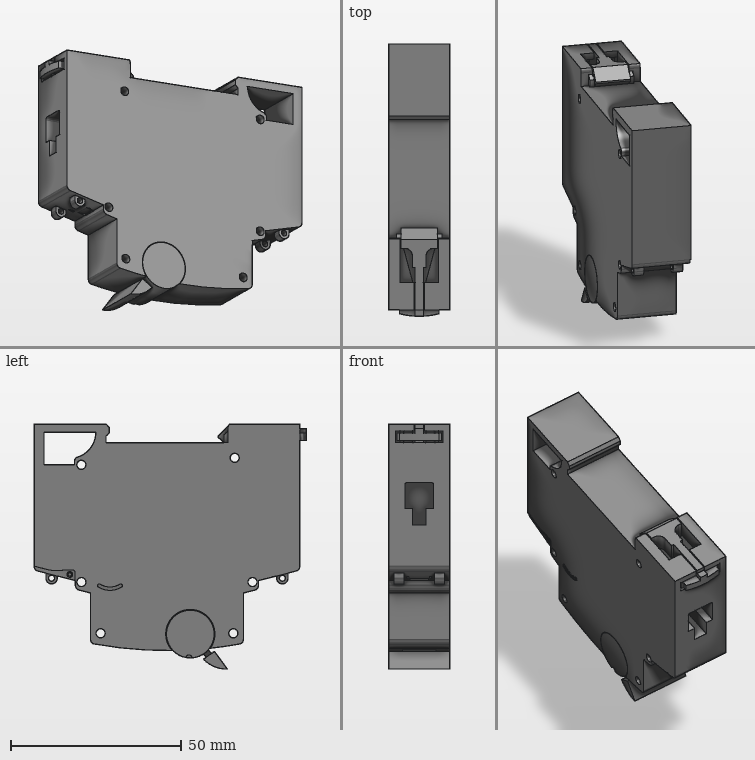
import cadquery as cq
import math


width = 18.0
half_width = width / 2
length = 78.12
mid_y = length / 2
top_z = 72.0
seat_z = 66.6

front_block_y = 21.1
front_block_round_y = 0.35
front_block_round_z = 1.2
rear_block_y = 56.9
hook_reach = 0.95
hook_root_z = 68.5
hook_low_z = 69.5
hook_high_z = 71.0

shoulder_slope = 0.254
shoulder_end_z = 29.1
step_y = 12.1
step_low_z = 23.5
nose_half_length = 22.5
nose_end_z = 7.6
nose_low_z = 5.45
corner_radius = 1.5
step_radius = 1.6
nose_radius = 1.4

rivet_radius = 1.3
rear_rivet_y = 64.2
step_rivet_z = 25.6
nose_rivet_offset = 19.5
nose_rivet_z = 10.55
rivet_points = [
    (rear_rivet_y, 60.05),
    (19.17, 62.1),
    (length - rear_rivet_y, step_rivet_z),
    (rear_rivet_y, step_rivet_z),
    (mid_y - nose_rivet_offset, nose_rivet_z),
    (mid_y + nose_rivet_offset, nose_rivet_z),
]

window_rear_y = 75.15
window_low_z = 60.1
window_high_z = 69.6
window_arc_y = 67.6
window_arc_radius = 7.6
window_rivet_clearance = 2.05
window_corner_radius = 1.3

lug_y = 5.15
lug_z = 26.75
lug_radius = 1.7
lug_hole_radius = 0.85
lug_width = 2.95
lug_x = 5.95
lug_root_z = 30.0

keyhole_half_width = 4.25
keyhole_top_z = 54.85
keyhole_ledge_z = 47.2
keyhole_bottom_z = 42.35
keyhole_leg_half_width = 2.05
keyhole_corner_radius = 0.75
keyhole_depth = 10.0

notch_half_width = 2.7
notch_front_y = 8.0
notch_wall_y = 12.4
notch_roof_z = 26.6
dimple_x = 3.35
dimple_z = 26.95
dimple_radius = 0.35
dimple_y_end = 8.8

relief_depth = 0.3
flap_top_z = 29.2
flap_dip_y = 71.8
flap_dip_z = 29.0
flap_rear_z = 30.3
flap_knee_y = 73.5
flap_knee_z = 29.1
flap_low_z = 25.0
flap_corner_radius = 0.9
pivot_y = 67.6
pivot_z = 27.85
pivot_radius = 0.85
pivot_dimple_radius = 0.5
smile_y = 55.8
smile_drop = 0.9
smile_half_span = 3.15
smile_end_z = 24.55
smile_half_width = 0.5

clip_half_width = 5.3
clip_gap = 0.3
clip_top_y = 20.6
clip_nose_y = 24.0
clip_nose_z = 68.55
clip_nose_tip_z = 68.05
clip_nose_under_y = 23.7
clip_nose_under_z = 67.85
clip_shoulder_y = 18.05
flare_radius = 2.3
neck_half_width = 2.0
neck_front_y = 12.4
stem_half_width = 1.2
stem_front_z = 70.7
clip_reach = 1.94

tab_half_width = 6.7
tab_y = 22.35
tab_low_z = 68.8

bar_half_width = 5.85
bar_end_y = -1.15
bar_rear_half_width = 6.6
bar_flare_y = 0.8
bar_rear_y = 1.6
bar_low_z = 67.15
bar_high_z = 69.35

pocket_front_y = 8.1
pocket_half_width = clip_half_width + clip_gap
bar_slot_half_width = 6.95
bar_slot_high_z = 70.05
vee_rear_half_width = 4.6
vee_front_half_width = 1.9
vee_depth = 0.5

toggle_y = 32.2
toggle_z = 10.34
toggle_radius = 7.05
toggle_gap = 0.12
arm_angle = 229.0
arm_width = 1.9
arm_length = 8.4
arm_half_width = 4.95
lever_front = (25.1, 5.25)
lever_rear = (28.35, 2.95)
lever_tip = (21.25, 0.0)
lever_belly = (25.3, 0.79)
rim_notch_y = 32.6
rim_notch_radius = 0.9
rim_notch_depth = 0.5

side_plane = cq.Plane(origin=(-half_width, 0, 0), xDir=(0, 1, 0), normal=(1, 0, 0))


def side_sketch(inset=0.0):
    """YZ workplane, inset from the -X face, that extrudes toward +X."""
    return cq.Workplane(side_plane).workplane(offset=inset)


def plan_sketch(z):
    """XY workplane at height z."""
    return cq.Workplane("XY", origin=(0, 0, z))


def block(x_half, y_low, y_high, z_low, z_high):
    """Box centred on X = 0."""
    box = cq.Workplane("XY").box(2 * x_half, y_high - y_low, z_high - z_low, centered=(True, False, False))
    return box.translate((0, y_low, z_low))


def shoulder_z(depth):
    """Shoulder height at a given distance from the front or rear face."""
    return shoulder_end_z - shoulder_slope * depth


def housing_body():
    nose_front_y = mid_y - nose_half_length
    nose_rear_y = mid_y + nose_half_length
    rear_step_y = length - step_y
    step_high_z = shoulder_z(step_y)
    nose_root_z = step_low_z - shoulder_slope * (nose_front_y - step_y)
    round_radius = (front_block_round_y ** 2 + front_block_round_z ** 2) / (2 * front_block_round_y)
    hook_y = rear_block_y - hook_reach

    body = (
        side_sketch()
        .moveTo(front_block_y, seat_z)
        .lineTo(rear_block_y, seat_z)
        .lineTo(rear_block_y, hook_root_z)
        .lineTo(hook_y, hook_low_z)
        .lineTo(hook_y, hook_high_z)
        .lineTo(rear_block_y, top_z)
        .lineTo(length, top_z)
        .lineTo(length, shoulder_end_z)
        .lineTo(rear_step_y, step_high_z)
        .lineTo(rear_step_y, step_low_z)
        .lineTo(nose_rear_y, nose_root_z)
        .lineTo(nose_rear_y, nose_end_z)
        .threePointArc((mid_y, nose_low_z), (nose_front_y, nose_end_z))
        .lineTo(nose_front_y, nose_root_z)
        .lineTo(step_y, step_low_z)
        .lineTo(step_y, step_high_z)
        .lineTo(0, shoulder_end_z)
        .lineTo(0, top_z)
        .lineTo(front_block_y - front_block_round_y, top_z)
        .radiusArc((front_block_y, top_z - front_block_round_z), round_radius)
        .close()
        .extrude(width)
    )
    rounded_corners = [
        (0, shoulder_end_z, corner_radius),
        (step_y, step_low_z, step_radius),
        (nose_front_y, nose_end_z, nose_radius),
    ]
    for y, z, radius in rounded_corners:
        for corner_y in (y, length - y):
            corner = cq.selectors.NearestToPointSelector((0, corner_y, z))
            body = body.edges("|X").edges(corner).fillet(radius)
    return body


def sealing_lugs():
    lugs = cq.Workplane("XY")
    for y, outward in ((lug_y, -1), (length - lug_y, 1)):
        outer_y = y + outward * lug_radius
        inner_y = y - outward * lug_radius
        lug = (
            side_sketch()
            .moveTo(outer_y, lug_root_z)
            .lineTo(outer_y, lug_z)
            .threePointArc((y, lug_z - lug_radius), (inner_y, lug_z))
            .lineTo(inner_y, lug_root_z)
            .close()
            .extrude(lug_width)
        )
        for x in (-lug_x, lug_x):
            lugs = lugs.add(lug.translate((x + half_width - lug_width / 2, 0, 0)))
    return lugs.combine()


def lug_holes():
    centres = [(lug_y, lug_z), (length - lug_y, lug_z)]
    return side_sketch().pushPoints(centres).circle(lug_hole_radius).extrude(width)


def rivet_holes():
    return side_sketch().pushPoints(rivet_points).circle(rivet_radius).extrude(width)


def rear_window():
    straight_y = rear_rivet_y + window_rivet_clearance
    straight = block(half_width, straight_y, window_rear_y, window_low_z, window_high_z)
    arc_y = window_arc_y - window_arc_radius
    arc_limits = block(half_width, arc_y, window_arc_y, window_low_z, window_high_z)
    arched = side_sketch().center(window_arc_y, window_high_z).circle(window_arc_radius).extrude(width)
    window = straight.union(arched.intersect(arc_limits))
    corner_z = window_high_z - math.sqrt(window_arc_radius ** 2 - (straight_y - window_arc_y) ** 2)
    corner = cq.selectors.NearestToPointSelector((0, straight_y, corner_z))
    return window.edges("|X").edges(corner).fillet(window_corner_radius)


def keyhole_pocket():
    head = block(keyhole_half_width, 0, keyhole_depth, keyhole_ledge_z, keyhole_top_z)
    head = head.edges("|Y and >Z").fillet(keyhole_corner_radius)
    leg = block(keyhole_leg_half_width, 0, keyhole_depth, keyhole_bottom_z, keyhole_ledge_z)
    return head.union(leg)


def shoulder_notch():
    notch_floor_z = shoulder_z(step_y)
    notch = block(notch_half_width, notch_front_y, notch_wall_y, notch_floor_z, notch_roof_z)
    dimples = (
        cq.Workplane("XZ")
        .pushPoints([(-dimple_x, dimple_z), (dimple_x, dimple_z)])
        .circle(dimple_radius)
        .extrude(-dimple_y_end)
    )
    return notch.union(dimples)


def flap_relief():
    """Shallow recess along the rear shoulder, with a dimpled pivot boss left standing in it."""
    inner_y = length - step_y
    recess = (
        side_sketch()
        .moveTo(length, flap_rear_z)
        .lineTo(flap_knee_y, flap_knee_z)
        .threePointArc((flap_dip_y, flap_dip_z), (pivot_y + flap_corner_radius, flap_top_z))
        .lineTo(inner_y + flap_corner_radius, flap_top_z)
        .radiusArc((inner_y, flap_top_z - flap_corner_radius), -flap_corner_radius)
        .lineTo(inner_y, flap_low_z)
        .lineTo(length, flap_low_z)
        .close()
        .extrude(relief_depth)
    )
    pivot = (
        side_sketch()
        .center(pivot_y, pivot_z)
        .circle(pivot_radius)
        .circle(pivot_dimple_radius)
        .extrude(relief_depth)
    )
    return recess.cut(pivot)


def smile_groove():
    """Shallow round-ended groove that follows an arc."""
    arc_radius = (smile_half_span ** 2 + smile_drop ** 2) / (2 * smile_drop)
    arc_z = smile_end_z - smile_drop + arc_radius
    half_angle = math.asin(smile_half_span / arc_radius)

    def arc_point(radius, angle):
        return (smile_y + radius * math.sin(angle), arc_z - radius * math.cos(angle))

    outer = arc_radius + smile_half_width
    inner = arc_radius - smile_half_width
    groove = (
        side_sketch()
        .moveTo(*arc_point(outer, -half_angle))
        .threePointArc(arc_point(outer, 0), arc_point(outer, half_angle))
        .lineTo(*arc_point(inner, half_angle))
        .threePointArc(arc_point(inner, 0), arc_point(inner, -half_angle))
        .close()
        .extrude(relief_depth)
    )
    ends = [arc_point(arc_radius, -half_angle), arc_point(arc_radius, half_angle)]
    return groove.union(side_sketch().pushPoints(ends).circle(smile_half_width).extrude(relief_depth))


def clip_cavity():
    pocket = block(pocket_half_width, pocket_front_y, front_block_y, seat_z, top_z)
    channel = block(stem_half_width + clip_gap, 0, pocket_front_y, seat_z, top_z)
    bar_slot = block(bar_slot_half_width, 0, pocket_front_y, seat_z, bar_slot_high_z)
    bar_slot = bar_slot.edges("|Z and >Y").fillet(flare_radius)
    vee = (
        plan_sketch(seat_z - vee_depth)
        .polyline([
            (-vee_front_half_width, pocket_front_y),
            (vee_front_half_width, pocket_front_y),
            (vee_rear_half_width, clip_shoulder_y),
            (-vee_rear_half_width, clip_shoulder_y),
        ])
        .close()
        .extrude(vee_depth)
    )
    return pocket.union(channel).union(bar_slot).union(vee)


def toggle_bore():
    return side_sketch().center(toggle_y, toggle_z).circle(toggle_radius + toggle_gap).extrude(width)


def make_housing():
    body = housing_body().union(sealing_lugs())
    cuts = [
        lug_holes(), rivet_holes(), rear_window(), keyhole_pocket(), shoulder_notch(),
        flap_relief(), smile_groove(), clip_cavity(), toggle_bore(),
    ]
    for cut in cuts:
        body = body.cut(cut)
    return body


def clip_latch():
    """Wide rear part of the clip, with its sloping nose over the rail seat."""
    profile = [
        (clip_shoulder_y, seat_z),
        (tab_y, seat_z),
        (clip_nose_under_y, clip_nose_under_z),
        (clip_nose_y, clip_nose_tip_z),
        (clip_nose_y, clip_nose_z),
        (clip_top_y, top_z),
        (clip_shoulder_y, top_z),
    ]
    return side_sketch(half_width - clip_half_width).polyline(profile).close().extrude(2 * clip_half_width)


def clip_tabs():
    """Stop tabs that bear on the rail-side face of the front block."""
    profile = [
        (front_block_y, seat_z),
        (tab_y, seat_z),
        (tab_y, tab_low_z),
        (front_block_y, tab_low_z + tab_y - front_block_y),
    ]
    return side_sketch(half_width - tab_half_width).polyline(profile).close().extrude(2 * tab_half_width)


def clip_stem():
    """Narrow stem to the front, flaring in two arcs into the latch."""
    flare_half_width = neck_half_width + flare_radius
    flare_y = clip_shoulder_y - flare_radius
    return (
        plan_sketch(seat_z)
        .moveTo(-stem_half_width, 0)
        .lineTo(stem_half_width, 0)
        .lineTo(stem_half_width, neck_front_y)
        .lineTo(neck_half_width, neck_front_y)
        .lineTo(neck_half_width, flare_y)
        .radiusArc((flare_half_width, clip_shoulder_y), flare_radius)
        .lineTo(-flare_half_width, clip_shoulder_y)
        .radiusArc((-neck_half_width, flare_y), flare_radius)
        .lineTo(-neck_half_width, neck_front_y)
        .lineTo(-stem_half_width, neck_front_y)
        .close()
        .extrude(top_z - seat_z)
    )


def pull_bar():
    """Bowed bar across the front of the stem; its middle rises with the stem to a higher level."""
    bow = (
        plan_sketch(bar_low_z)
        .moveTo(-bar_half_width, bar_end_y)
        .threePointArc((0, -clip_reach), (bar_half_width, bar_end_y))
        .lineTo(bar_half_width, 0)
        .lineTo(bar_rear_half_width, bar_flare_y)
        .lineTo(bar_rear_half_width, bar_rear_y)
        .lineTo(-bar_rear_half_width, bar_rear_y)
        .lineTo(-bar_rear_half_width, bar_flare_y)
        .lineTo(-bar_half_width, 0)
        .close()
        .extrude(stem_front_z - bar_low_z)
    )
    low_bar = block(bar_rear_half_width, -clip_reach, bar_rear_y, bar_low_z, bar_high_z)
    raised_middle = block(stem_half_width, -clip_reach, bar_rear_y, bar_low_z, stem_front_z)
    return bow.intersect(low_bar.union(raised_middle))


def make_clip():
    return clip_latch().union(clip_tabs()).union(clip_stem()).union(pull_bar())


def toggle_arm():
    arm = cq.Workplane("YZ").rect(arm_length, arm_width).extrude(arm_half_width, both=True)
    arm = arm.translate((0, arm_length / 2, 0))
    arm = arm.rotate((0, 0, 0), (1, 0, 0), arm_angle)
    return arm.translate((0, toggle_y, toggle_z))


def toggle_lever():
    return (
        side_sketch()
        .moveTo(*lever_front)
        .lineTo(*lever_rear)
        .threePointArc(lever_belly, lever_tip)
        .close()
        .extrude(width)
    )


def make_toggle():
    drum = side_sketch().center(toggle_y, toggle_z).circle(toggle_radius).extrude(width)
    rim_notch = (
        side_sketch()
        .center(rim_notch_y, toggle_z - toggle_radius)
        .circle(rim_notch_radius)
        .extrude(rim_notch_depth)
    )
    return drum.cut(rim_notch).union(toggle_arm()).union(toggle_lever())


housing = make_housing()
clip = make_clip()
toggle = make_toggle()
result = cq.Compound.makeCompound([housing.val(), clip.val(), toggle.val()])